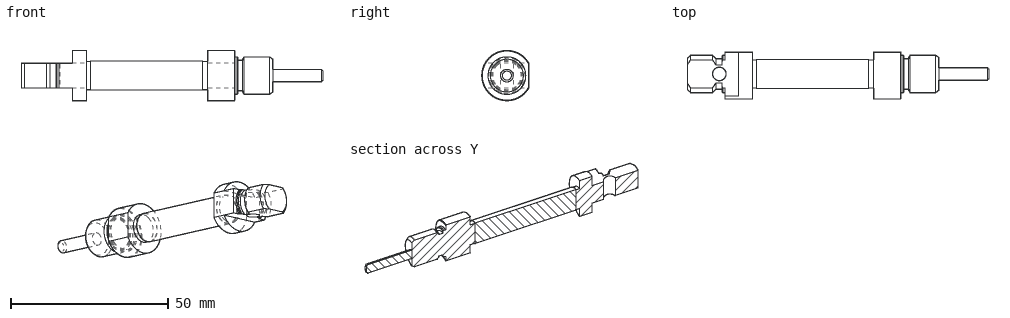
import cadquery as cq

TOTAL_LENGTH = 96.0
FLANGE_DIAMETER = 16.0
FLANGE_WIDTH_Y = 15.0
FLANGE_RADIUS = FLANGE_DIAMETER / 2
FLANGE_FLAT_Y = FLANGE_WIDTH_Y - FLANGE_RADIUS
THREAD_DIAMETER = 12.0
THREAD_RADIUS = THREAD_DIAMETER / 2
RELIEF_RADIUS = 4.9
COLLAR_CHAMFER = 0.3
NECK_RADIUS = 4.5
BARREL_DIAMETER = 9.3
BARREL_RADIUS = BARREL_DIAMETER / 2
ROD_RADIUS = 2.0

REAR_NOSE_CHAMFER = 1.1
REAR_CONE_START = 8.0
REAR_CONE_LENGTH = THREAD_RADIUS - RELIEF_RADIUS
REAR_RELIEF_END = 11.0
REAR_FLANGE_START = 11.9
REAR_FLANGE_END = 20.7
TANG_END = 16.2
TANG_THICKNESS = 8.0
CROSS_HOLE_X = 10.2
CROSS_HOLE_DIAMETER = 4.2

BARREL_START = 22.0
BARREL_END = 57.6

FRONT_FLANGE_START = 59.2
FRONT_FLANGE_END = 68.0
FRONT_FLANGE_CHAMFER = 0.2
FRONT_RELIEF_START = 68.9
FRONT_RELIEF_END = 70.4
NOSE_REAR_CHAMFER_LENGTH = 0.5
NOSE_REAR_CHAMFER_DEPTH = 0.8
FRONT_CAP_END = 80.0
NOSE_FRONT_CHAMFER_LENGTH = 1.0
NOSE_FRONT_CHAMFER_DEPTH = 0.8

ROD_END_CHAMFER = 0.6


def cylinder_x(radius, start, end):
    """Round bar along X from start to end."""
    return cq.Workplane("YZ", origin=(start, 0, 0)).circle(radius).extrude(end - start)


def revolve_x(profile):
    """Revolve a closed (x, radius) profile about the X axis."""
    return cq.Workplane("XY").polyline(profile).close().revolve(360, (0, 0, 0), (1, 0, 0))


def box_x(start, end, y_min, y_max, z_min, z_max):
    """Box given by its limits along each axis."""
    size = (end - start, y_max - y_min, z_max - z_min)
    return cq.Workplane("XY").box(*size, centered=False).translate((start, y_min, z_min))


def cut_flange_flat(cap):
    """Remove everything beyond the flat on the +Y side."""
    side = 2 * FLANGE_RADIUS
    beyond_flat = box_x(0, TOTAL_LENGTH, FLANGE_FLAT_Y, side, -side, side)
    return cap.cut(beyond_flat)


def make_rear_cap():
    cap = revolve_x([
        (0, 0),
        (0, THREAD_RADIUS - REAR_NOSE_CHAMFER),
        (REAR_NOSE_CHAMFER, THREAD_RADIUS),
        (REAR_CONE_START, THREAD_RADIUS),
        (REAR_CONE_START + REAR_CONE_LENGTH, RELIEF_RADIUS),
        (REAR_RELIEF_END, RELIEF_RADIUS),
        (REAR_RELIEF_END, THREAD_RADIUS - COLLAR_CHAMFER),
        (REAR_RELIEF_END + COLLAR_CHAMFER, THREAD_RADIUS),
        (REAR_FLANGE_START, THREAD_RADIUS),
        (REAR_FLANGE_START, FLANGE_RADIUS),
        (REAR_FLANGE_END, FLANGE_RADIUS),
        (REAR_FLANGE_END, NECK_RADIUS),
        (BARREL_START, NECK_RADIUS),
        (BARREL_START, 0),
    ])
    cap = cut_flange_flat(cap)

    half_tang = TANG_THICKNESS / 2
    reach = 2 * FLANGE_RADIUS
    cap = cap.cut(box_x(0, TANG_END, -reach, reach, half_tang, reach))
    cap = cap.cut(box_x(0, TANG_END, -reach, reach, -reach, -half_tang))

    hole = (
        cq.Workplane("XY", origin=(CROSS_HOLE_X, 0, -half_tang))
        .circle(CROSS_HOLE_DIAMETER / 2)
        .extrude(TANG_THICKNESS)
    )
    return cap.cut(hole)


def make_barrel():
    return cylinder_x(BARREL_RADIUS, BARREL_START, BARREL_END)


def make_front_cap():
    cap = revolve_x([
        (BARREL_END, 0),
        (BARREL_END, NECK_RADIUS),
        (FRONT_FLANGE_START, NECK_RADIUS),
        (FRONT_FLANGE_START, FLANGE_RADIUS),
        (FRONT_FLANGE_END - FRONT_FLANGE_CHAMFER, FLANGE_RADIUS),
        (FRONT_FLANGE_END, FLANGE_RADIUS - FRONT_FLANGE_CHAMFER),
        (FRONT_FLANGE_END, THREAD_RADIUS),
        (FRONT_RELIEF_START - COLLAR_CHAMFER, THREAD_RADIUS),
        (FRONT_RELIEF_START, THREAD_RADIUS - COLLAR_CHAMFER),
        (FRONT_RELIEF_START, RELIEF_RADIUS),
        (FRONT_RELIEF_END, RELIEF_RADIUS),
        (FRONT_RELIEF_END, THREAD_RADIUS - NOSE_REAR_CHAMFER_DEPTH),
        (FRONT_RELIEF_END + NOSE_REAR_CHAMFER_LENGTH, THREAD_RADIUS),
        (FRONT_CAP_END - NOSE_FRONT_CHAMFER_LENGTH, THREAD_RADIUS),
        (FRONT_CAP_END, THREAD_RADIUS - NOSE_FRONT_CHAMFER_DEPTH),
        (FRONT_CAP_END, 0),
    ])
    return cut_flange_flat(cap)


def make_rod():
    rod = cylinder_x(ROD_RADIUS, FRONT_CAP_END, TOTAL_LENGTH)
    return rod.faces(">X").chamfer(ROD_END_CHAMFER)


rear_cap = make_rear_cap()
barrel = make_barrel()
front_cap = make_front_cap()
piston_rod = make_rod()

result = cq.Compound.makeCompound([
    rear_cap.val(),
    barrel.val(),
    front_cap.val(),
    piston_rod.val(),
])